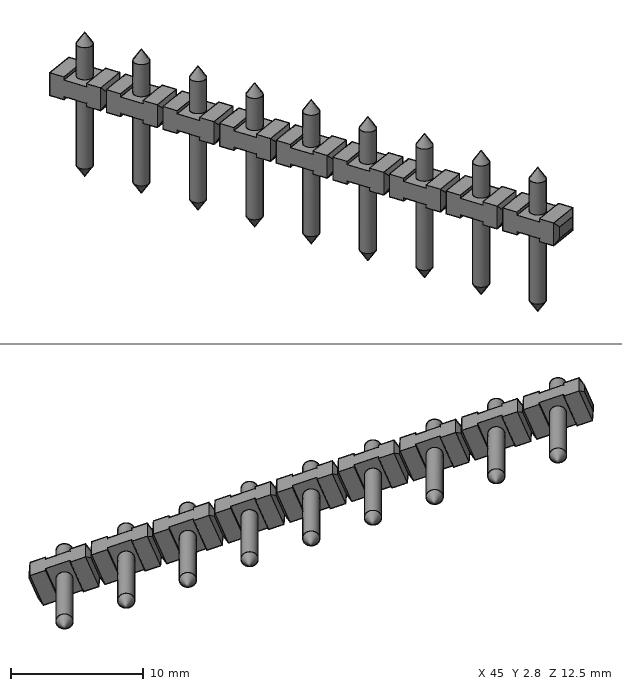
import cadquery as cq

strip_length = 45.0
block_count = 9
pitch = strip_length / block_count

block_depth = 2.8
block_height = 2.0
bevel_length = 0.248
end_face_depth = 1.85
end_face_height = 1.0

groove_width = 2.0
groove_depth = 0.25

pin_diameter = 1.3
pin_length = 12.5
tip_length = 1.0
pin_top = 4.5
pin_bottom = pin_top - pin_length


def make_bevelled_end():
    """Taper that narrows along +X from the block section to its end face."""
    return (
        cq.Workplane("YZ", origin=(pitch / 2 - bevel_length, 0, 0))
        .rect(block_depth, block_height)
        .workplane(offset=bevel_length)
        .rect(end_face_depth, end_face_height)
        .loft(ruled=True)
    )


def make_block():
    """Block with bevelled ends and a groove above and below."""
    right_end = make_bevelled_end()
    left_end = right_end.mirror("YZ")
    block = cq.Workplane("XY").box(pitch - 2 * bevel_length, block_depth, block_height)
    block = block.union(right_end).union(left_end)
    groove_center = (block_height - groove_depth) / 2
    for side in (-1, 1):
        groove = cq.Workplane("XY").box(groove_width, block_depth, groove_depth)
        block = block.cut(groove.translate((0, 0, side * groove_center)))
    return block


def make_pin():
    """Pin with pointed ends, revolved about the Z axis."""
    pin_radius = pin_diameter / 2
    return (
        cq.Workplane("XZ")
        .moveTo(0, pin_bottom)
        .lineTo(pin_radius, pin_bottom + tip_length)
        .lineTo(pin_radius, pin_top - tip_length)
        .lineTo(0, pin_top)
        .close()
        .revolve(360, (0, 0, 0), (0, 1, 0))
    )


unit = make_block().union(make_pin())
result = unit
for index in range(1, block_count):
    result = result.union(unit.translate((index * pitch, 0, 0)))

result = result.translate((-(strip_length - pitch) / 2, 0, 0))